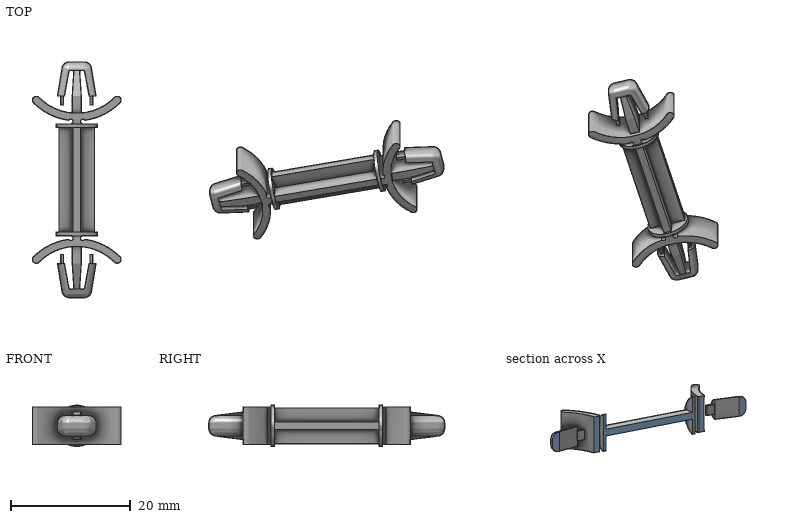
import cadquery as cq
import math

total_length = 39.4
tip_y = total_length / 2

rib_span = 6.0
rib_thickness = 1.25
flange_diameter = 6.9
flange_depth = 10.35
flange_thickness = 0.6

bow_width = 14.8
bow_height = 6.3
bow_thickness = 1.3
bow_top_depth = 5.75
bow_middle_depth = 9.2

neck_thickness = 1.25
relief_radius = 0.4

head_tip_half_width = 2.3
head_base_half_width = 3.25
head_height = 3.43
head_base_depth = 5.7
head_corner_radius = 1.22
head_tip_radius = 1.25
slot_top_half_width = 1.25
slot_base_half_width = 2.05
slot_depth = 1.45
slot_corner_radius = 0.25

post_top_width = 1.0
post_base_width = 1.55
post_top_height = 3.55
post_base_height = 4.6

tab_offset = 2.45
tab_thickness = 0.47
tab_height = 1.7
tab_length = 1.55


def box_between_depths(width, height, start_depth, end_depth):
    """Box centred on X and Z, spanning two depths."""
    length = end_depth - start_depth
    middle_y = tip_y - (start_depth + end_depth) / 2
    return cq.Workplane("XY").box(width, length, height).translate((0, middle_y, 0))


def extrude_outline(outline, height):
    """Extrude a closed XY outline symmetrically about Z = 0."""
    return outline.extrude(height / 2, both=True)


def make_body():
    flange_bottom_depth = flange_depth + flange_thickness
    end_depth = total_length - flange_bottom_depth
    flat_rib = box_between_depths(rib_span, rib_thickness, flange_bottom_depth, end_depth)
    upright_rib = box_between_depths(rib_thickness, rib_span, flange_bottom_depth, end_depth)
    return flat_rib.union(upright_rib)


def make_flange():
    return (
        cq.Workplane("XZ", origin=(0, tip_y - flange_depth, 0))
        .circle(flange_diameter / 2)
        .extrude(flange_thickness)
    )


def make_bow():
    end_radius = bow_thickness / 2
    end_x = bow_width / 2 - end_radius
    end_y = tip_y - bow_top_depth - end_radius
    middle_y = tip_y - bow_middle_depth
    sagitta = end_y - middle_y
    radius = (end_x**2 + sagitta**2) / (2 * sagitta)
    centre_y = middle_y + radius
    end_angle = math.asin(end_x / radius)

    def point(distance, angle):
        return (distance * math.sin(angle), centre_y - distance * math.cos(angle))

    inner = radius - end_radius
    outer = radius + end_radius
    cap_angle = end_angle + math.atan(end_radius / radius)
    cap_distance = math.hypot(radius, end_radius)
    outline = (
        cq.Workplane("XY")
        .moveTo(*point(inner, -end_angle))
        .threePointArc(point(inner, 0), point(inner, end_angle))
        .threePointArc(point(cap_distance, cap_angle), point(outer, end_angle))
        .threePointArc(point(outer, 0), point(outer, -end_angle))
        .threePointArc(point(cap_distance, -cap_angle), point(inner, -end_angle))
        .close()
    )
    return extrude_outline(outline, bow_height)


def add_neck(bow):
    relief_x = neck_thickness / 2 + relief_radius
    relief_y = tip_y - flange_depth + relief_radius
    neck = box_between_depths(2 * relief_x, bow_height, bow_middle_depth, flange_depth)
    reliefs = extrude_outline(
        cq.Workplane("XY")
        .pushPoints([(-relief_x, relief_y), (relief_x, relief_y)])
        .circle(relief_radius),
        bow_height,
    )
    return bow.union(neck).cut(reliefs)


def make_slots():
    """The two openings between the post and the arms, rounded at their closed ends."""
    top_y = tip_y - slot_depth
    base_y = tip_y - head_base_depth
    right_outline = cq.Workplane("XY").polyline([
        (post_top_width / 2, top_y),
        (slot_top_half_width, top_y),
        (slot_base_half_width, base_y),
        (post_base_width / 2, base_y),
    ]).close()
    right_slot = extrude_outline(right_outline, head_height)
    right_slot = right_slot.faces(">Y").edges("|Z").fillet(slot_corner_radius)
    return right_slot, right_slot.mirror("YZ")


def make_head():
    base_y = tip_y - head_base_depth
    outline = cq.Workplane("XY").polyline([
        (-head_tip_half_width, tip_y),
        (head_tip_half_width, tip_y),
        (head_base_half_width, base_y),
        (-head_base_half_width, base_y),
    ]).close()
    head = extrude_outline(outline, head_height)
    head = head.edges("not (|X or |Z)").fillet(head_corner_radius)
    head = head.faces(">Y").edges().fillet(head_tip_radius)
    for slot in make_slots():
        head = head.cut(slot)
    return head


def make_post():
    taper_length = head_base_depth - slot_depth
    taper = (
        cq.Workplane("XZ", origin=(0, tip_y - slot_depth, 0))
        .rect(post_top_width, post_top_height)
        .workplane(offset=taper_length)
        .rect(post_base_width, post_base_height)
        .loft(ruled=True)
    )
    shank = box_between_depths(post_base_width, post_base_height, head_base_depth, bow_middle_depth)
    return taper.union(shank)


def make_tabs():
    tab = box_between_depths(tab_thickness, tab_height, head_base_depth, head_base_depth + tab_length)
    return tab.translate((-tab_offset, 0, 0)).union(tab.translate((tab_offset, 0, 0)))


def make_end():
    """Everything from one flange outward to the tip on the +Y side."""
    end = add_neck(make_bow())
    for piece in (make_flange(), make_head(), make_post(), make_tabs()):
        end = end.union(piece)
    return end


end = make_end()
result = make_body().union(end).union(end.mirror("XZ"))